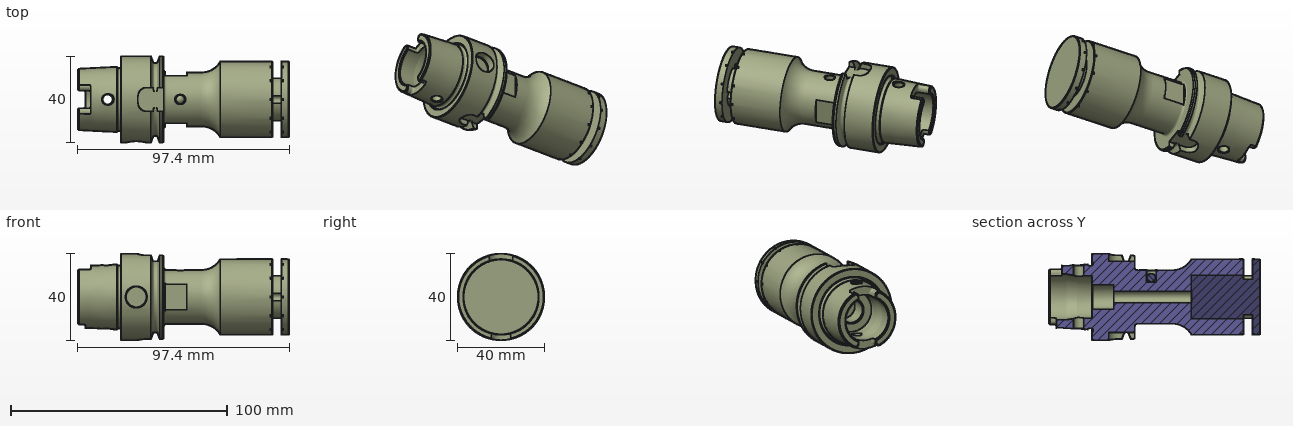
import cadquery as cq
import math

shank_length = 19.8
gauge_radius = 15.0
gauge_distance = 4.0
taper_slope = 0.05
nose_chamfer = 0.55
relief_start = -1.9
relief_radius = 14.6
relief_side_width = 0.5
face_groove_depth = 0.6
face_groove_radius = 16.3
face_groove_fillet = 1.1

flange_radius = 20.0
flange_length = 19.8
flange_edge_chamfer = 0.3
rear_rim_chamfer = 0.8
rear_rim_radius = 19.6
groove_root_radius = 16.9
groove_center = 15.9
groove_root_width = 1.7
groove_mouth_width = 4.0
groove_root_fillet = 0.6

neck_radius = 12.5
neck_root_fillet = 1.2
sleeve_radius = 17.5
sleeve_start = 45.9
sleeve_end = 70.0
sleeve_chamfer = 0.3
flare_radius = 10.0
flare_rise = sleeve_radius - neck_radius
flare_length = math.sqrt(flare_radius**2 - (flare_radius - flare_rise)**2)

bore_radius = 10.5
bore_end = -11.7
bore_cone_end = -6.8
inner_bore_radius = 9.75
bore_floor = 0.0
thread_radius = 5.5
thread_chamfer = 0.5
thread_depth = 10.0
channel_radius = 2.5

key_half_width = 4.0
key_edge_radius = 1.8
key_floor_fillet = 0.9
key_slot_overcut = 2.5
key_slot_depths = {1: 6.0, -1: 3.5}

cross_hole_x = -6.1
cross_hole_diameter = 4.6
cross_hole_mouth_diameter = 5.6

gripper_slot_start = 7.9
gripper_slot_corner = 4.0
gripper_slot_widths = {1: 11.0, -1: 9.0}
gripper_slot_floor = 16.5

chip_pocket_x = 7.1
chip_pocket_diameter = 10.0
chip_pocket_depth = 4.6
chip_pocket_chamfer = 0.3

flat_start = 20.4
flat_length = 10.0
across_flats = 22.0

ball_x = 27.4
ball_diameter = 4.0
ball_hole_diameter = 4.2
ball_hole_mouth_diameter = 5.0
ball_depth = 3.6
ball_z = neck_radius - ball_depth

spindle_radius = 10.0
spindle_start = sleeve_start
spindle_flange_start = 74.0
spindle_end = 77.6
spindle_chamfer = 0.3
spindle_groove_diameter = 3.3
spindle_groove_count = 4

pit_diameter = 0.8
pit_depth = 0.3
pit_count = 12
sleeve_pit_x = sleeve_end - 0.8
flange_pit_x = spindle_flange_start + 0.6


def turned(outline):
    """Revolve an (X, radius) outline about the X axis."""
    return outline.close().revolve(360, (0, 0, 0), (1, 0, 0))


def taper_radius(x):
    """Outer radius of the shank taper at a position along X."""
    return gauge_radius + taper_slope * (x + gauge_distance)


def radial_cylinder(x, diameter, bottom, top):
    """Cylinder standing along Z between two heights."""
    return cq.Workplane("XY", origin=(x, 0, bottom)).circle(diameter / 2).extrude(top - bottom)


def countersink(x, hole_diameter, mouth_diameter, surface):
    """45 degree cone along Z that opens a hole at the given surface height."""
    depth = (mouth_diameter - hole_diameter) / 2
    return (cq.Workplane("XY", origin=(x, 0, surface - depth)).circle(hole_diameter / 2)
            .workplane(offset=2 * depth).circle(mouth_diameter / 2 + depth).loft())


def index_pits(x):
    """Ring of shallow pits at the sleeve diameter."""
    pit = radial_cylinder(x, pit_diameter, sleeve_radius - pit_depth, sleeve_radius + pit_depth)
    pits = cq.Workplane()
    for i in range(pit_count):
        pits = pits.add(pit.rotate((0, 0, 0), (1, 0, 0), i * 360 / pit_count))
    return pits.combine()


def holder_blank():
    """Turned body from shank nose to sleeve end, with the blind spindle socket."""
    nose = -shank_length
    half_root = groove_root_width / 2
    half_mouth = groove_mouth_width / 2
    flare_start = sleeve_start - flare_length
    half_angle = math.asin(flare_length / flare_radius) / 2
    flare_mid = (flare_start + flare_radius * math.sin(half_angle),
                 neck_radius + flare_radius * (1 - math.cos(half_angle)))
    fillet_offset = neck_root_fillet * (1 - math.sqrt(0.5))
    blank = turned(
        cq.Workplane("XY").moveTo(nose, 0)
        .lineTo(nose, taper_radius(nose) - nose_chamfer)
        .lineTo(nose + nose_chamfer, taper_radius(nose + nose_chamfer))
        .lineTo(relief_start, taper_radius(relief_start))
        .lineTo(relief_start + relief_side_width, relief_radius)
        .lineTo(face_groove_depth - face_groove_fillet, relief_radius)
        .tangentArcPoint((face_groove_depth, relief_radius + face_groove_fillet), relative=False)
        .lineTo(0, face_groove_radius)
        .lineTo(0, flange_radius - flange_edge_chamfer)
        .lineTo(flange_edge_chamfer, flange_radius)
        .lineTo(groove_center - half_mouth, flange_radius)
        .lineTo(groove_center - half_root, groove_root_radius)
        .lineTo(groove_center + half_root, groove_root_radius)
        .lineTo(groove_center + half_mouth, flange_radius)
        .lineTo(flange_length - rear_rim_chamfer, flange_radius)
        .lineTo(flange_length, rear_rim_radius)
        .lineTo(flange_length, neck_radius + neck_root_fillet)
        .threePointArc((flange_length + fillet_offset, neck_radius + fillet_offset),
                       (flange_length + neck_root_fillet, neck_radius))
        .lineTo(flare_start, neck_radius)
        .threePointArc(flare_mid, (sleeve_start, sleeve_radius))
        .lineTo(sleeve_end - sleeve_chamfer, sleeve_radius)
        .lineTo(sleeve_end, sleeve_radius - sleeve_chamfer)
        .lineTo(sleeve_end, spindle_radius)
        .lineTo(spindle_start, spindle_radius)
        .lineTo(spindle_start, 0)
    )
    groove_root = cq.selectors.BoxSelector(
        (groove_center - groove_root_width, -flange_radius, -flange_radius),
        (groove_center + groove_root_width, flange_radius, flange_radius))
    root_edges = blank.edges(groove_root).edges("%CIRCLE")
    return root_edges.fillet(groove_root_fillet)


def shank_bore():
    """Stepped bore from the nose, continued as a coolant channel to the spindle socket."""
    nose = -shank_length
    return turned(
        cq.Workplane("XY").moveTo(nose, 0)
        .lineTo(nose, bore_radius + nose_chamfer)
        .lineTo(nose + nose_chamfer, bore_radius)
        .lineTo(bore_end, bore_radius)
        .lineTo(bore_cone_end, inner_bore_radius)
        .lineTo(bore_floor, inner_bore_radius)
        .lineTo(bore_floor, thread_radius + thread_chamfer)
        .lineTo(bore_floor + thread_chamfer, thread_radius)
        .lineTo(bore_floor + thread_depth, thread_radius)
        .lineTo(bore_floor + thread_depth, channel_radius)
        .lineTo(spindle_start, channel_radius)
        .lineTo(spindle_start, 0)
    )


def key_slot_outline(plane, side, growth):
    """Add the slot section, widened by a growth, to a YZ plane; its outer edges round over to the taper."""
    nose_radius = taper_radius(-shank_length)
    center_y = key_half_width + key_edge_radius
    center_z = math.sqrt((nose_radius - key_edge_radius)**2 - center_y**2)
    tangent_angle = math.atan2(center_z, center_y)
    mid_angle = (math.pi + tangent_angle) / 2

    def around_center(radius, angle):
        return center_y + radius * math.cos(angle), side * (center_z + radius * math.sin(angle))

    wall_y = key_half_width + growth
    edge_radius = key_edge_radius - growth
    mid_y, mid_z = around_center(edge_radius, mid_angle)
    end_y, end_z = around_center(edge_radius, tangent_angle)
    outer_y, outer_z = around_center(key_edge_radius + key_slot_overcut, tangent_angle)
    return (plane.moveTo(-wall_y, 0)
            .lineTo(wall_y, 0)
            .lineTo(wall_y, side * center_z)
            .threePointArc((mid_y, mid_z), (end_y, end_z))
            .lineTo(outer_y, outer_z)
            .lineTo(-outer_y, outer_z)
            .lineTo(-end_y, end_z)
            .threePointArc((-mid_y, mid_z), (-wall_y, side * center_z))
            .close())


def key_slot(side, depth):
    """Open slot through the nose wall with filleted floor corners."""
    nose_plane = cq.Workplane("YZ", origin=(-shank_length, 0, 0))
    slot = key_slot_outline(nose_plane, side, 0).extrude(depth)
    side_edges = slot.faces(">X").edges("not |Y")
    return side_edges.fillet(key_floor_fillet)


def key_slot_mouth(side):
    """Flared entry that chamfers the slot walls at the nose face."""
    nose_plane = cq.Workplane("YZ", origin=(-shank_length, 0, 0))
    wide = key_slot_outline(nose_plane, side, nose_chamfer)
    return key_slot_outline(wide.workplane(offset=nose_chamfer), side, 0).loft(ruled=True)


def gripper_slot(side, width):
    """Flat-floored slot, open at the rear of the flange."""
    length = flange_length - gripper_slot_start
    height = flange_radius - gripper_slot_floor
    return (cq.Workplane("XY")
            .box(length, width, height, centered=(False, True, False))
            .edges("|Z and <X").fillet(gripper_slot_corner)
            .translate((gripper_slot_start, 0, gripper_slot_floor if side > 0 else -flange_radius)))


def chip_pocket():
    """Blind round pocket on the -Y side with a chamfered floor edge."""
    top = flange_radius
    pocket = radial_cylinder(chip_pocket_x, chip_pocket_diameter, top - chip_pocket_depth, top)
    pocket = pocket.faces("<Z").chamfer(chip_pocket_chamfer)
    return pocket.rotate((0, 0, 0), (1, 0, 0), 90)


def build_holder():
    holder = holder_blank().cut(shank_bore())
    for side, depth in key_slot_depths.items():
        holder = holder.cut(key_slot(side, depth)).cut(key_slot_mouth(side))
    holder = holder.cut(radial_cylinder(cross_hole_x, cross_hole_diameter, -gauge_radius, gauge_radius))
    mouth = countersink(cross_hole_x, cross_hole_diameter, cross_hole_mouth_diameter,
                        taper_radius(cross_hole_x))
    holder = holder.cut(mouth).cut(mouth.rotate((0, 0, 0), (1, 0, 0), 180))
    for side, width in gripper_slot_widths.items():
        holder = holder.cut(gripper_slot(side, width))
    holder = holder.cut(chip_pocket())
    for side in (1, -1):
        flat = (cq.Workplane("XY")
                .box(flat_length, flange_radius, 2 * neck_radius, centered=(False, True, True))
                .translate((flat_start, side * (across_flats + flange_radius) / 2, 0)))
        holder = holder.cut(flat)
    ball_hole = radial_cylinder(ball_x, ball_hole_diameter, ball_z - ball_diameter / 2, neck_radius)
    holder = holder.cut(ball_hole)
    holder = holder.cut(countersink(ball_x, ball_hole_diameter, ball_hole_mouth_diameter, neck_radius))
    return holder.cut(index_pits(sleeve_pit_x))


def build_ball():
    """Ball resting on the floor of its hole."""
    return cq.Workplane("XY", origin=(ball_x, 0, ball_z)).sphere(ball_diameter / 2, direct=(1, 0, 0))


def build_spindle():
    """Shaft seated in the sleeve, with an end flange and axial grooves in the open gap."""
    spindle = turned(
        cq.Workplane("XY").moveTo(spindle_start, 0)
        .lineTo(spindle_start, spindle_radius)
        .lineTo(spindle_flange_start, spindle_radius)
        .lineTo(spindle_flange_start, sleeve_radius)
        .lineTo(spindle_end - spindle_chamfer, sleeve_radius)
        .lineTo(spindle_end, sleeve_radius - spindle_chamfer)
        .lineTo(spindle_end, 0)
    )
    grooves = (cq.Workplane("YZ", origin=(sleeve_end, 0, 0))
               .polarArray(spindle_radius, 0, 360, spindle_groove_count)
               .circle(spindle_groove_diameter / 2)
               .extrude(spindle_flange_start - sleeve_end))
    return spindle.cut(grooves).cut(index_pits(flange_pit_x))


holder = build_holder()
ball = build_ball()
spindle = build_spindle()

result = cq.Compound.makeCompound([holder.val(), ball.val(), spindle.val()])